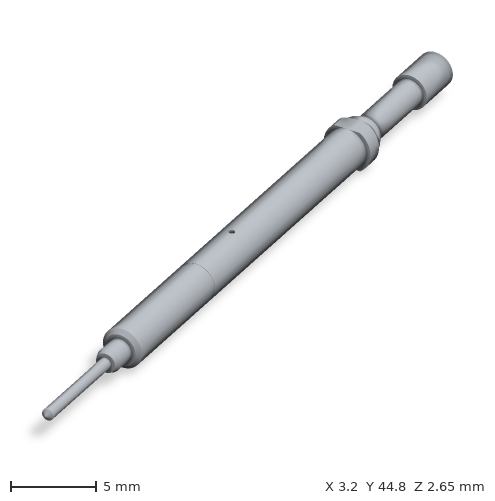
import cadquery as cq

length = 44.8
head_end = 3.0
neck_end = 8.1
collar_step = 8.55
collar_end = 8.95
flange_start = 9.2
flange_end = 10.15
groove_start = 27.5
groove_end = 27.85
barrel_end = 35.95
shoulder_end = 36.2
nose_end = 37.5
tail_end = 37.85
pin_end = 44.5

head_diameter = 2.35
neck_diameter = 1.8
collar_face_diameter = 2.15
collar_rim_diameter = 2.4
collar_diameter = 2.6
flange_diameter = 3.2
barrel_diameter = 2.65
groove_diameter = 2.6
shoulder_diameter = 2.1
nose_diameter = 1.55
tail_diameter = 1.3
pin_diameter = 0.75

collar_bulge = 0.03

dimple_station = 23.4
dimple_diameter = 0.4
dimple_depth = 0.22


def profile_point(diameter, station):
    """Half-outline point (X, Y) at a diameter and station, with the part centred on the origin."""
    return diameter / 2, length / 2 - station


def turned_body():
    """Revolve the stepped half outline about the Y axis."""
    before_rounding = [
        (0, 0),
        (head_diameter, 0),
        (head_diameter, head_end),
        (neck_diameter, head_end),
        (neck_diameter, neck_end),
        (collar_face_diameter, neck_end),
    ]
    after_rounding = [
        (collar_diameter, collar_step),
        (collar_diameter, collar_end),
        (flange_diameter, flange_start),
        (flange_diameter, flange_end),
        (barrel_diameter, flange_end),
        (barrel_diameter, groove_start),
        (groove_diameter, groove_start),
        (groove_diameter, groove_end),
        (barrel_diameter, groove_end),
        (barrel_diameter, barrel_end),
        (shoulder_diameter, shoulder_end),
        (nose_diameter, shoulder_end),
        (nose_diameter, nose_end),
        (tail_diameter, tail_end),
        (pin_diameter, tail_end),
        (pin_diameter, pin_end),
        (0, length),
    ]
    outline = cq.Workplane("XY").polyline([profile_point(*corner) for corner in before_rounding])
    rim = profile_point(collar_rim_diameter, collar_step)
    outline = outline.sagittaArc(rim, collar_bulge)
    for corner in after_rounding:
        outline = outline.lineTo(*profile_point(*corner))
    return outline.close().revolve(360, (0, 0, 0), (0, 1, 0))


def flat_trim():
    """Block whose top and bottom cut the flange flats flush with the barrel."""
    return cq.Workplane("XY").box(flange_diameter, length, barrel_diameter)


def dimple():
    """Small round blind hole in the top of the barrel."""
    dimple_y = length / 2 - dimple_station
    dimple_floor = barrel_diameter / 2 - dimple_depth
    return (
        cq.Workplane("XY", origin=(0, dimple_y, dimple_floor))
        .circle(dimple_diameter / 2)
        .extrude(barrel_diameter / 2)
    )


result = turned_body().intersect(flat_trim()).cut(dimple())